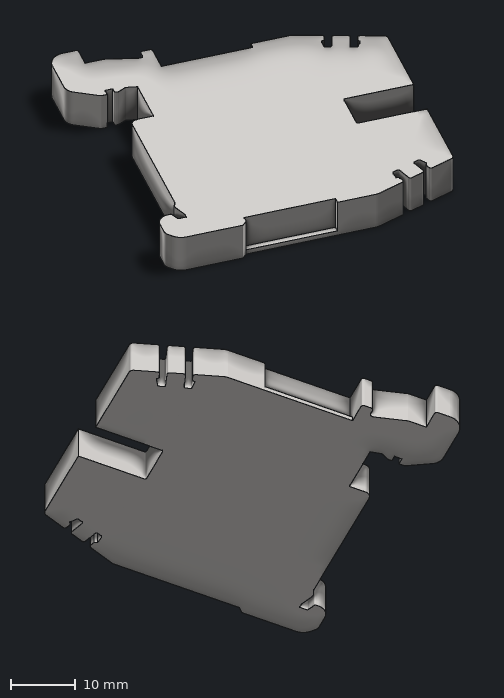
import cadquery as cq
import math

thickness = 6.5
height = 51.5

body_half_width = 21.0
top_half_width = 16.1
shoulder_y = 37.5
body_bottom_y = 15.95

top_notch_width = 6.45
top_notch_depth = 11.5

tooth_start = 5.7
tooth_end = 8.6
groove_mouth = 1.15
groove_depth = 2.9
groove_bulge = 1.55
bulge_depth = 1.5
lip_length = 1.2
groove_end_width = 1.2

recess_top_y = 30.85
recess_depth = 1.0
recess_floor = 0.9

bar_x = -24.55
bar_bottom_y = 14.0
leg_neck_x = -23.05
leg_neck_y = 13.3
leg_knee_y = 8.1
heel_x = -28.0
heel_top_y = 5.05
toe_x = -18.8
hook_x = -15.95
hook_y = 4.75
hook_slot_x = -17.05
hook_slot_bottom_y = 5.75
hook_slot_top_y = 7.0
latch_x = -16.05
latch_y = 7.6
latch_root_x = -16.75
latch_root_y = 9.0

channel_top_y = 10.8
channel_left_x = -16.3
channel_right_x = -8.6
underside_y = 7.0

bump_start_x = 13.1
bump_x = 13.95
bump_y = 6.55
rail_groove_left_x = 16.3
rail_groove_x = 17.05
rail_groove_top_y = 7.5
rail_groove_bottom_y = 6.2

right_foot_x = 21.8
right_foot_bottom_y = 3.1
right_foot_bevel = 0.75
nose_x = 15.6
nose_top_y = 5.55
sole_right_x = 19.9
outer_slope_top_y = 4.75

sharp = 0.0
small_round = 0.25
edge_round = 0.4
top_round = 0.75
channel_round = 1.05
bump_round = 0.9
nose_round = 1.8
sole_round = 1.35
outer_round = 2.75
toe_round = 2.05
heel_round = 2.5
shoulder_round = 2.05


def flank_points():
    """Left flank from the shoulder up to the top edge, as (x, y, corner radius)."""
    rise = height - shoulder_y
    run = body_half_width - top_half_width
    length = math.hypot(run, rise)
    down = (-run / length, -rise / length)
    inward = (-down[1], down[0])

    def on_flank(distance, depth, radius):
        x = -top_half_width + distance * down[0] + depth * inward[0]
        y = height + distance * down[1] + depth * inward[1]
        return (x, y, radius)

    def groove(straight_side, direction):
        """Groove from the tooth outwards; direction is +1 down the flank, -1 up it."""
        return [
            on_flank(straight_side, 0, edge_round),
            on_flank(straight_side, groove_depth, small_round),
            on_flank(straight_side + direction * groove_end_width, groove_depth, small_round),
            on_flank(straight_side + direction * groove_bulge, bulge_depth, sharp),
            on_flank(straight_side + direction * groove_mouth, lip_length, sharp),
            on_flank(straight_side + direction * groove_mouth, 0, edge_round),
        ]

    lower_groove = groove(tooth_end, 1)
    upper_groove = groove(tooth_start, -1)
    return [
        (-body_half_width, shoulder_y, shoulder_round),
        *reversed(lower_groove),
        *upper_groove,
        (-top_half_width, height, top_round),
    ]


def mirrored(points):
    """The same corners reflected in X = 0, in the opposite order."""
    return [(-x, y, radius) for x, y, radius in reversed(points)]


def upper_points():
    """Both flanks and the notched top edge, from left to right."""
    notch_corner = (-top_notch_width / 2, height - top_notch_depth, small_round)
    notch_lip = (-top_notch_width / 2, height, sharp)
    left_half = [*flank_points(), notch_lip, notch_corner]
    return left_half + mirrored(left_half)


def right_foot_points():
    """Right foot from the body side, around the sole, to the rail bump."""
    return [
        (right_foot_x - right_foot_bevel, body_bottom_y, sharp),
        (right_foot_x, body_bottom_y - right_foot_bevel, small_round),
        (right_foot_x, outer_slope_top_y, outer_round),
        (sole_right_x, right_foot_bottom_y, sole_round),
        (nose_x, right_foot_bottom_y, nose_round),
        (nose_x, nose_top_y, small_round),
        (rail_groove_x, rail_groove_bottom_y, small_round),
        (rail_groove_x, rail_groove_top_y, sharp),
        (rail_groove_left_x, rail_groove_top_y, small_round),
        (bump_x, bump_y, bump_round),
        (bump_start_x, underside_y, sharp),
    ]


def left_foot_points():
    """Rail channel and left foot, from the body underside to the release bar."""
    return [
        (channel_right_x, underside_y, channel_round),
        (channel_right_x, channel_top_y, sharp),
        (channel_left_x, channel_top_y, sharp),
        (latch_root_x, latch_root_y, small_round),
        (latch_x, latch_y, small_round),
        (latch_x, hook_slot_top_y, small_round),
        (hook_slot_x, hook_slot_top_y, sharp),
        (hook_slot_x, hook_slot_bottom_y, sharp),
        (hook_x, hook_slot_bottom_y, sharp),
        (hook_x, hook_y, edge_round),
        (toe_x, 0, toe_round),
        (heel_x, 0, heel_round),
        (heel_x, heel_top_y, edge_round),
        (bar_x, heel_top_y, sharp),
        (bar_x, leg_knee_y, sharp),
        (leg_neck_x, leg_neck_y, small_round),
        (leg_neck_x, bar_bottom_y, edge_round),
        (bar_x, bar_bottom_y, edge_round),
        (bar_x, body_bottom_y, edge_round),
        (-body_half_width, body_bottom_y, sharp),
    ]


def rounded_corner(previous, corner, following):
    """Start, middle and end of the arc that rounds a corner."""
    x, y, radius = corner
    to_previous = cq.Vector(previous[0] - x, previous[1] - y).normalized()
    to_following = cq.Vector(following[0] - x, following[1] - y).normalized()
    half_angle = to_previous.getAngle(to_following) / 2
    vertex = cq.Vector(x, y)
    setback = radius / math.tan(half_angle)
    middle_distance = radius / math.sin(half_angle) - radius
    bisector = (to_previous + to_following).normalized()
    return (
        vertex + to_previous * setback,
        vertex + bisector * middle_distance,
        vertex + to_following * setback,
    )


def rounded_plate(corners):
    """Extrude a closed outline of (x, y, corner radius) to the full thickness."""
    outline = cq.Workplane("XY").moveTo(*corners[-1][:2])
    for index, corner in enumerate(corners):
        if corner[2] == sharp:
            if index < len(corners) - 1:
                outline = outline.lineTo(*corner[:2])
            continue
        following = corners[(index + 1) % len(corners)]
        start, middle, end = rounded_corner(corners[index - 1], corner, following)
        outline = outline.lineTo(start.x, start.y).threePointArc(middle.toTuple()[:2], end.toTuple()[:2])
    return outline.close().extrude(thickness)


def side_recess(side):
    """Cutter for the marker recess; side is -1 for left and +1 for right."""
    return cq.Workplane("XY").box(
        2 * recess_depth,
        recess_top_y - body_bottom_y,
        thickness - recess_floor,
        centered=(True, False, False),
    ).translate((side * body_half_width, body_bottom_y, recess_floor))


result = rounded_plate(upper_points() + right_foot_points() + left_foot_points())
for side in (-1, 1):
    result = result.cut(side_recess(side))